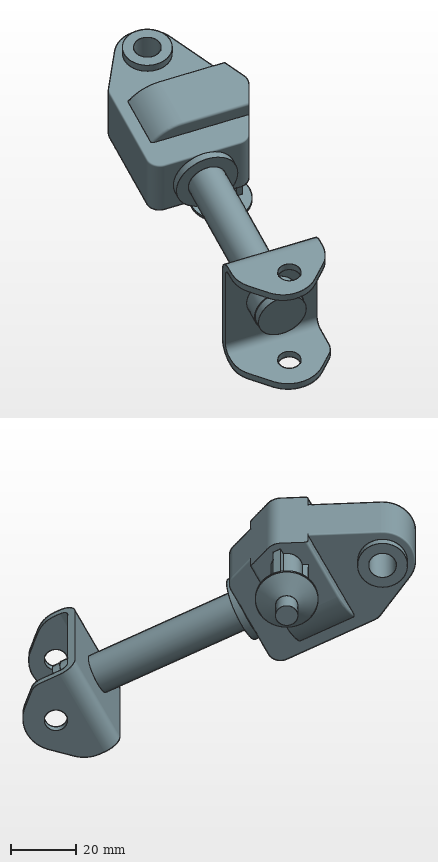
import cadquery as cq
import math


eye_radius = 10.1
eye_bore_radius = 4.2
boss_radius = 7.6
boss_half_length = 12.5
housing_half_height = 9.9
housing_end_x = 45.9
housing_front_y = -17.2
housing_front_corner_x = 10.3
housing_back_corner_y = 14.9
housing_apex_y = 23.0
front_corner_radius = 5.3
end_corner_radius = 4.2
apex_radius = 5.3
edge_round = 0.5

hump_x = 25.9
hump_width = 19.5
hump_radius = 14.5
hump_arc_y = -2.6
hump_edge_round = 0.8

pin_y = 13.7
pin_core_radius = 4.9
fin_count = 3
first_fin_angle = 90
fin_reach = 6.6
fin_width = 2.5
disc_radius = 9.6
disc_top_z = -34.3
disc_thickness = 0.8
cone_end_z = -39.0
stub_radius = 3.4
stub_end_z = -45.4

sheet = 2.5
bracket_x = 97.9
bracket_half_height = 20.7
bracket_half_width = 15.1
bend_radius = 5.3
flange_slope_x = 109.0
flange_apex_x = 125.0
flange_round = 10.5
flange_hole_x = 111.4
flange_hole_y = 1.5
flange_hole_radius = 3.5
lower_tip_x = 121.4
lower_tip_start_x = 118.3
lower_corner_radius = 5.3

rod_radius = 6.2
collar_radius = 10.1
collar_thickness = 2.5
head_radius = 8.2
head_step_x = 106.7
head_end_radius = 7.9
head_end_x = 109.3


def tangent_point(x, y, side):
    """Touching point on the eye circle of a line through (x, y); side is +1 or -1."""
    angle = math.atan2(y, x) + side * math.acos(eye_radius / math.hypot(x, y))
    return eye_radius * math.cos(angle), eye_radius * math.sin(angle)


def housing_prism(half_height):
    """Housing outline, rounded at its corners and extruded about the mid-plane."""
    prism = (
        cq.Workplane("XY", origin=(0, 0, -half_height))
        .moveTo(*tangent_point(housing_front_corner_x, housing_front_y, -1))
        .lineTo(housing_front_corner_x, housing_front_y)
        .lineTo(housing_end_x, housing_front_y)
        .lineTo(housing_end_x, housing_back_corner_y)
        .lineTo(hump_x, housing_apex_y)
        .lineTo(*tangent_point(hump_x, housing_apex_y, 1))
        .threePointArc(
            (-eye_radius, 0),
            tangent_point(housing_front_corner_x, housing_front_y, -1),
        )
        .close()
        .extrude(2 * half_height)
    )
    corners = (
        (housing_front_corner_x, housing_front_y, front_corner_radius),
        (housing_end_x, housing_front_y, end_corner_radius),
        (housing_end_x, housing_back_corner_y, end_corner_radius),
        (hump_x, housing_apex_y, apex_radius),
    )
    for x, y, radius in corners:
        prism = prism.edges(cq.selectors.NearestToPointSelector((x, y, 0))).fillet(radius)
    return prism


def make_hump():
    """Raised band on both faces, rolling off towards the front on an arc."""
    back_y = housing_apex_y + hump_radius
    band = (
        cq.Workplane("YZ", origin=(hump_x - hump_width / 2, 0, 0))
        .moveTo(back_y, -hump_radius)
        .lineTo(hump_arc_y, -hump_radius)
        .threePointArc((hump_arc_y - hump_radius, 0), (hump_arc_y, hump_radius))
        .lineTo(back_y, hump_radius)
        .close()
        .extrude(hump_width)
    )
    band = band.faces("<X or >X").edges("not(>Y)").fillet(hump_edge_round)
    return band.intersect(housing_prism(hump_radius))


def make_housing():
    body = housing_prism(housing_half_height).faces("|Z").edges().fillet(edge_round)
    bosses = (
        cq.Workplane("XY", origin=(0, 0, -boss_half_length))
        .circle(boss_radius)
        .extrude(2 * boss_half_length)
    )
    bore = (
        cq.Workplane("XY", origin=(0, 0, -boss_half_length))
        .circle(eye_bore_radius)
        .extrude(2 * boss_half_length)
    )
    return body.union(make_hump()).union(bosses).cut(bore)


def make_guide_pin():
    """Three-finned shaft under the hump, ending in a disc, a cone and a stub."""
    shaft_length = -hump_radius - disc_top_z
    base = cq.Workplane("XY", origin=(hump_x, pin_y, disc_top_z))
    pin = base.circle(pin_core_radius).extrude(shaft_length)
    fin = base.center(fin_reach / 2, 0).rect(fin_reach, fin_width).extrude(shaft_length)
    for i in range(fin_count):
        angle = first_fin_angle + i * 360 / fin_count
        pin = pin.union(fin.rotate((hump_x, pin_y, 0), (hump_x, pin_y, 1), angle))
    tip = (
        cq.Workplane("XZ")
        .moveTo(0, disc_top_z)
        .lineTo(disc_radius, disc_top_z)
        .lineTo(disc_radius, disc_top_z - disc_thickness)
        .lineTo(stub_radius, cone_end_z)
        .lineTo(stub_radius, stub_end_z)
        .lineTo(0, stub_end_z)
        .close()
        .revolve(360, (0, 0, 0), (0, 1, 0))
        .translate((hump_x, pin_y, 0))
    )
    return pin.union(tip)


def flange_side_y(x):
    """Half width of a flange at x, along its converging sides."""
    return bracket_half_width * (flange_apex_x - x) / (flange_apex_x - flange_slope_x)


def upper_flange_blank():
    """Plan of the upper half: both sides converge evenly to a rounded tip."""
    return (
        cq.Workplane("XY")
        .moveTo(bracket_x, -bracket_half_width)
        .lineTo(flange_slope_x, -bracket_half_width)
        .lineTo(flange_apex_x, 0)
        .lineTo(flange_slope_x, bracket_half_width)
        .lineTo(bracket_x, bracket_half_width)
        .close()
        .extrude(bracket_half_height)
        .edges("|Z and (not <X)")
        .fillet(flange_round)
    )


def lower_flange_blank():
    """Plan of the lower half: the tip is wider and centred on the flange hole."""
    tip_start_y = -flange_side_y(lower_tip_start_x)
    slope = bracket_half_width / (flange_apex_x - flange_slope_x)
    back_corner_x = flange_slope_x + 2 * flange_hole_y / slope
    blank = (
        cq.Workplane("XY", origin=(0, 0, -bracket_half_height))
        .moveTo(bracket_x, -bracket_half_width)
        .lineTo(flange_slope_x, -bracket_half_width)
        .lineTo(lower_tip_start_x, tip_start_y)
        .threePointArc(
            (lower_tip_x, flange_hole_y),
            (lower_tip_start_x, 2 * flange_hole_y - tip_start_y),
        )
        .lineTo(back_corner_x, bracket_half_width)
        .lineTo(bracket_x, bracket_half_width)
        .close()
        .extrude(bracket_half_height)
    )
    corners = (
        (flange_slope_x, -bracket_half_width, flange_round),
        (back_corner_x, bracket_half_width, lower_corner_radius),
    )
    for x, y, radius in corners:
        corner = cq.selectors.NearestToPointSelector((x, y, -bracket_half_height / 2))
        blank = blank.edges(corner).fillet(radius)
    return blank


def channel_solid(inset):
    """Block with two rounded edges, inset from the bracket; it runs past the flange tips."""
    length = flange_apex_x - bracket_x
    return (
        cq.Workplane("XY")
        .box(length, 2 * bracket_half_width, 2 * (bracket_half_height - inset))
        .translate((bracket_x + inset + length / 2, 0, 0))
        .edges("|Y and <X")
        .fillet(bend_radius - inset)
    )


def make_bracket():
    blank = upper_flange_blank().union(lower_flange_blank())
    bracket = blank.intersect(channel_solid(0)).cut(channel_solid(sheet))
    flange_holes = (
        cq.Workplane("XY", origin=(flange_hole_x, flange_hole_y, -bracket_half_height))
        .circle(flange_hole_radius)
        .extrude(2 * bracket_half_height)
    )
    rod_hole = (
        cq.Workplane("YZ", origin=(bracket_x, 0, 0))
        .circle(rod_radius)
        .extrude(sheet)
    )
    return bracket.cut(flange_holes).cut(rod_hole)


def make_rod():
    """Rod with a collar against the housing and a stepped head behind the bracket."""
    collar_end_x = housing_end_x + collar_thickness
    return (
        cq.Workplane("XY")
        .moveTo(housing_end_x, 0)
        .lineTo(housing_end_x, collar_radius)
        .lineTo(collar_end_x, collar_radius)
        .lineTo(collar_end_x, rod_radius)
        .lineTo(bracket_x + sheet, rod_radius)
        .lineTo(bracket_x + sheet, head_radius)
        .lineTo(head_step_x, head_radius)
        .lineTo(head_step_x, head_end_radius)
        .lineTo(head_end_x, head_end_radius)
        .lineTo(head_end_x, 0)
        .close()
        .revolve(360, (0, 0, 0), (1, 0, 0))
    )


housing = make_housing()
guide_pin = make_guide_pin()
bracket = make_bracket()
rod = make_rod()

result = cq.Compound.makeCompound([housing.val(), guide_pin.val(), bracket.val(), rod.val()])